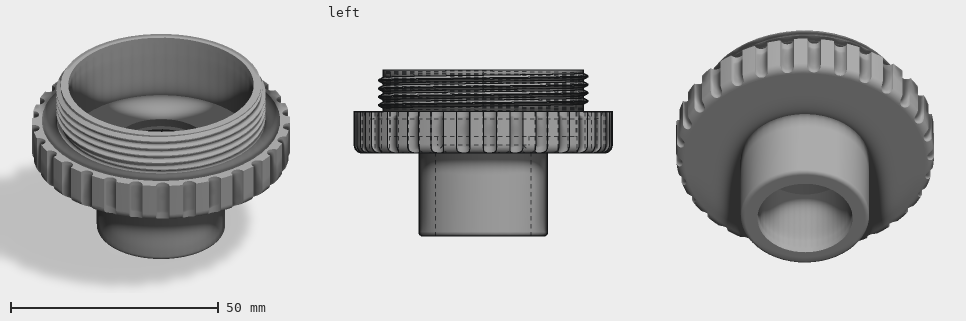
import cadquery as cq
import math

total_height = 40.0
stem_length = total_height / 2
collar_height = total_height / 4
collar_top = stem_length + collar_height

stem_diameter = 30.9
stem_fillet = 1.0
stem_bore_diameter = 22.9

collar_diameter = 62.1
collar_fillet = 2.0
flute_count = 30
flute_diameter = 3.2
flute_pitch_angle = 360 / flute_count
first_flute_angle = flute_pitch_angle / 4

groove_inner_diameter = 50.15
groove_outer_diameter = 57.35

tube_diameter = 48.2
tube_bore_diameter = 44.6
tube_bore_depth = 16.0
seat_diameter = 21.9
seat_depth = 2.0
lip_diameter = 19.0
floor_height = total_height - tube_bore_depth
seat_height = floor_height - seat_depth
stem_bore_depth = stem_length

thread_diameter = 50.4
turn_count = 4
thread_pitch = 2.0
root_width = 0.75 * thread_pitch
crest_width = thread_pitch / 8
thread_height = (thread_diameter - tube_diameter) / 2
thread_start = collar_top + (total_height - collar_top - turn_count * thread_pitch) / 2
fade_turn = 0.25
points_per_turn = 96


def cylinder(diameter, bottom, height):
    return cq.Workplane("XY").workplane(offset=bottom).circle(diameter / 2).extrude(height)


def make_flute_cutters():
    return (
        cq.Workplane("XY")
        .workplane(offset=stem_length)
        .polarArray(collar_diameter / 2, first_flute_angle, 360, flute_count)
        .circle(flute_diameter / 2)
        .extrude(collar_height)
    )


def make_groove_cutter():
    groove_radius = (groove_outer_diameter - groove_inner_diameter) / 4
    groove_centre = (groove_outer_diameter + groove_inner_diameter) / 4
    return (
        cq.Workplane("XZ")
        .center(groove_centre, collar_top)
        .circle(groove_radius)
        .revolve(360, (-groove_centre, 0), (-groove_centre, 1))
    )


def make_lip_cone():
    return (
        cq.Workplane("XY")
        .workplane(offset=stem_bore_depth)
        .circle(stem_bore_diameter / 2)
        .workplane(offset=seat_height - stem_bore_depth)
        .circle(lip_diameter / 2)
        .loft(ruled=True)
    )


def make_housing():
    stem = cylinder(stem_diameter, 0, stem_length).faces("<Z").edges().fillet(stem_fillet)
    collar = cylinder(collar_diameter, stem_length, collar_height)
    collar = collar.faces("<Z").edges().fillet(collar_fillet)
    collar = collar.cut(make_flute_cutters()).cut(make_groove_cutter())
    tube = cylinder(tube_diameter, collar_top, total_height - collar_top)
    body = stem.union(collar).union(tube)

    body = body.cut(cylinder(stem_bore_diameter, 0, stem_bore_depth))
    body = body.cut(make_lip_cone())
    body = body.cut(cylinder(seat_diameter, seat_height, seat_depth))
    return body.cut(cylinder(tube_bore_diameter, floor_height, tube_bore_depth))


def make_thread_body(turns, fades):
    """Right-hand thread ridge starting at angle 0, height 0; a fading one runs out to nothing."""

    def ridge_edge(on_crest, side):
        def point(t):
            fade = t if fades else 0
            radius = tube_diameter / 2
            width = root_width + (crest_width - root_width) * fade
            if on_crest:
                radius += thread_height * (1 - fade)
                width = crest_width
            angle = 2 * math.pi * turns * t
            height = thread_pitch * turns * t + side * width / 2
            return (radius * math.cos(angle), radius * math.sin(angle), height)

        point_count = round(points_per_turn * turns)
        return cq.Workplane("XY").parametricCurve(point, N=point_count, makeWire=False).val()

    outline = [ridge_edge(False, -1), ridge_edge(True, -1), ridge_edge(True, 1), ridge_edge(False, 1)]
    faces = [cq.Face.makeRuledSurface(outline[i - 1], outline[i]) for i in range(len(outline))]
    end_positions = [0] if fades else [0, 1]
    for position in end_positions:
        corners = [edge.positionAt(position) for edge in outline]
        faces.append(cq.Face.makeFromWires(cq.Wire.makePolygon(corners, close=True)))
    return cq.Solid.makeSolid(cq.Shell.makeShell(faces))


def make_thread_turns():
    turn = make_thread_body(1, False)
    return [turn.translate(cq.Vector(0, 0, thread_start + i * thread_pitch)) for i in range(turn_count)]


def make_thread_ends():
    run_out = make_thread_body(fade_turn, True)
    run_in = run_out.rotate(cq.Vector(0, 0, 0), cq.Vector(1, 0, 0), 180)
    thread_end = thread_start + turn_count * thread_pitch
    return [
        run_in.translate(cq.Vector(0, 0, thread_start)),
        run_out.translate(cq.Vector(0, 0, thread_end)),
    ]


housing = make_housing()
thread_turns = make_thread_turns()
thread_ends = make_thread_ends()

result = cq.Compound.makeCompound([housing.val(), *thread_turns, *thread_ends])